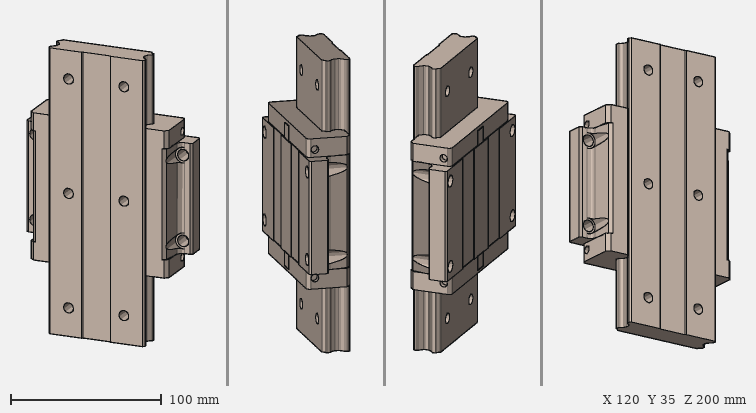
import cadquery as cq


RAIL_LENGTH = 200.0
RAIL_HALF_WIDTH = 34.5
RAIL_HEIGHT = 19.0
RAIL_BASE_CHAMFER = 1.2
RAIL_WAIST_HALF_WIDTH = 31.0
WAIST_BEVEL_START = 3.2
WAIST_BOTTOM = 6.8
WAIST_TOP = 10.0
RACEWAY_FOOT_X = 31.8
RACEWAY_FOOT_Y = 11.5
HEAD_BOTTOM = 13.8
HEAD_TOP = 16.5
RAIL_TOP_HALF_WIDTH = 32.0
UPPER_RACEWAY_SAG = 0.5
LOWER_RACEWAY_SAG = 0.5
WAIST_BEVEL_ROUND = 2.0
WAIST_ROUND = 1.0
HEAD_ROUND = 0.5
RELIEF_WIDTH = 21.0
RELIEF_DEPTH = 0.5
RAIL_HOLE_DIAMETER = 7.0
RAIL_HOLE_SPACING_X = 40.0
RAIL_HOLE_PITCH_Z = 80.0

CARRIAGE_TOP = 35.0
CARRIAGE_BOTTOM = 4.0
CARRIAGE_HALF_WIDTH = 60.0
CARRIAGE_LENGTH = 103.0
BLOCK_LENGTH = 77.5
FLANGE_BOTTOM = 21.5
FLANGE_TOP_CHAMFER = 1.2
FLANGE_EDGE_BEVEL_WIDTH = 1.8
FLANGE_EDGE_BEVEL_HEIGHT = 1.2
FILLET_OUTER_X = 54.5
FLANK_TOP_X = 50.5
FLANK_TOP_Y = 18.5
FLANK_BOTTOM_X = 48.0
FLANK_BOTTOM_Y = 6.0
BLOCK_FOOT_X = 45.5
FLANGE_FILLET_SAG = 1.0
GROOVE_INNER_X = 12.5
GROOVE_OUTER_X = 31.5
GROOVE_DEPTH = 0.5
CARRIAGE_HOLE_DIAMETER = 8.0
CARRIAGE_HOLE_X = 53.5
CARRIAGE_HOLE_Z = 30.0
SPOTFACE_DIAMETER = 11.0

CAP_HALF_WIDTH = 49.8
CAP_TOP = 34.0
CAP_TOP_FILLET = 2.5
CAP_FOOT_CHAMFER = 2.5
CAP_PAD_WIDTH = 9.5
CAP_PAD_HEIGHT = 0.5
CAP_PAD_SETBACK = 2.5
PORT_DIAMETER = 5.2
PORT_Y = 28.5
PORT_Z = 44.0
PORT_DEPTH = 4.0

CAP_LENGTH = (CARRIAGE_LENGTH - BLOCK_LENGTH) / 2
CAP_CENTER_Z = (BLOCK_LENGTH + CAP_LENGTH) / 2


def extrude_along_z(profile, length):
    """Extrude a closed XY profile by length, centred on Z = 0."""
    return profile.extrude(length / 2, both=True)


def bore_along_y(x, z, diameter, y_start, y_end):
    """Cylinder with its axis along Y, from y_start up to y_end."""
    return cq.Workplane(cq.Solid.makeCylinder(
        diameter / 2, y_end - y_start, cq.Vector(x, y_start, z), cq.Vector(0, 1, 0)))


def round_long_edges(bar, x, y, radius):
    """Round the two mirrored edges that run along Z through (x, y) and (-x, y)."""
    for side in (-1, 1):
        edge = cq.selectors.NearestToPointSelector((side * x, y, 0))
        bar = bar.edges(edge).fillet(radius)
    return bar


def rail_bar(length):
    """Rail section with a concave raceway at each upper corner and below each head."""
    half = (
        cq.Workplane("XY")
        .moveTo(0, 0)
        .lineTo(RAIL_HALF_WIDTH - RAIL_BASE_CHAMFER, 0)
        .lineTo(RAIL_HALF_WIDTH, RAIL_BASE_CHAMFER)
        .lineTo(RAIL_HALF_WIDTH, WAIST_BEVEL_START)
        .lineTo(RAIL_WAIST_HALF_WIDTH, WAIST_BOTTOM)
        .lineTo(RAIL_WAIST_HALF_WIDTH, WAIST_TOP)
        .lineTo(RACEWAY_FOOT_X, RACEWAY_FOOT_Y)
        .sagittaArc((RAIL_HALF_WIDTH, HEAD_BOTTOM), LOWER_RACEWAY_SAG)
        .lineTo(RAIL_HALF_WIDTH, HEAD_TOP)
        .sagittaArc((RAIL_TOP_HALF_WIDTH, RAIL_HEIGHT), UPPER_RACEWAY_SAG)
        .lineTo(0, RAIL_HEIGHT)
        .mirrorY()
    )
    bar = extrude_along_z(half, length)
    bar = round_long_edges(bar, RAIL_HALF_WIDTH, WAIST_BEVEL_START, WAIST_BEVEL_ROUND)
    bar = round_long_edges(bar, RAIL_WAIST_HALF_WIDTH, WAIST_BOTTOM, WAIST_ROUND)
    bar = round_long_edges(bar, RAIL_WAIST_HALF_WIDTH, WAIST_TOP, WAIST_ROUND)
    bar = round_long_edges(bar, RAIL_HALF_WIDTH, HEAD_BOTTOM, HEAD_ROUND)
    bar = round_long_edges(bar, RAIL_HALF_WIDTH, HEAD_TOP, HEAD_ROUND)
    return round_long_edges(bar, RAIL_TOP_HALF_WIDTH, RAIL_HEIGHT, HEAD_ROUND)


def make_rail():
    rail = rail_bar(RAIL_LENGTH)
    relief = (
        cq.Workplane("XY")
        .moveTo(0, 0)
        .lineTo(RELIEF_WIDTH / 2, 0)
        .lineTo(RELIEF_WIDTH / 2 - RELIEF_DEPTH, RELIEF_DEPTH)
        .lineTo(0, RELIEF_DEPTH)
        .mirrorY()
    )
    rail = rail.cut(extrude_along_z(relief, RAIL_LENGTH))
    for x in (-RAIL_HOLE_SPACING_X / 2, RAIL_HOLE_SPACING_X / 2):
        for row in (-1, 0, 1):
            z = row * RAIL_HOLE_PITCH_Z
            rail = rail.cut(bore_along_y(x, z, RAIL_HOLE_DIAMETER, 0, RAIL_HEIGHT))
    return rail


def flanged_block():
    """Middle of the carriage: flanges, tapered flanks and two shallow grooves on top."""
    half = (
        cq.Workplane("XY")
        .moveTo(0, CARRIAGE_BOTTOM)
        .lineTo(BLOCK_FOOT_X, CARRIAGE_BOTTOM)
        .lineTo(FLANK_BOTTOM_X, FLANK_BOTTOM_Y)
        .lineTo(FLANK_TOP_X, FLANK_TOP_Y)
        .sagittaArc((FILLET_OUTER_X, FLANGE_BOTTOM), FLANGE_FILLET_SAG)
        .lineTo(CARRIAGE_HALF_WIDTH - FLANGE_EDGE_BEVEL_WIDTH, FLANGE_BOTTOM)
        .lineTo(CARRIAGE_HALF_WIDTH, FLANGE_BOTTOM + FLANGE_EDGE_BEVEL_HEIGHT)
        .lineTo(CARRIAGE_HALF_WIDTH, CARRIAGE_TOP - FLANGE_TOP_CHAMFER)
        .lineTo(CARRIAGE_HALF_WIDTH - FLANGE_TOP_CHAMFER, CARRIAGE_TOP)
        .lineTo(GROOVE_OUTER_X, CARRIAGE_TOP)
        .lineTo(GROOVE_OUTER_X, CARRIAGE_TOP - GROOVE_DEPTH)
        .lineTo(GROOVE_INNER_X, CARRIAGE_TOP - GROOVE_DEPTH)
        .lineTo(GROOVE_INNER_X, CARRIAGE_TOP)
        .lineTo(0, CARRIAGE_TOP)
        .mirrorY()
    )
    return extrude_along_z(half, BLOCK_LENGTH)


def end_cap(side):
    """End cap at the +Z (side = 1) or -Z (side = -1) end of the block."""
    height = CAP_TOP - CARRIAGE_BOTTOM
    center_z = side * CAP_CENTER_Z
    cap = (
        cq.Workplane("XY")
        .box(2 * CAP_HALF_WIDTH, height, CAP_LENGTH)
        .edges("|Z and >Y").fillet(CAP_TOP_FILLET)
        .edges("|Z and <Y").chamfer(CAP_FOOT_CHAMFER)
        .translate((0, CARRIAGE_BOTTOM + height / 2, center_z))
    )
    pad = (
        cq.Workplane("XY")
        .box(CAP_PAD_WIDTH, 2 * CAP_PAD_HEIGHT, CAP_LENGTH - CAP_PAD_SETBACK)
        .translate((0, CAP_TOP, center_z - side * CAP_PAD_SETBACK / 2))
    )
    cap = cap.union(pad)
    for x_side in (-1, 1):
        port = cq.Solid.makeCylinder(
            PORT_DIAMETER / 2, PORT_DEPTH,
            cq.Vector(x_side * CAP_HALF_WIDTH, PORT_Y, side * PORT_Z), cq.Vector(-x_side, 0, 0))
        cap = cap.cut(cq.Workplane(port))
    return cap


def make_carriage():
    carriage = flanged_block()
    for x in (-CARRIAGE_HOLE_X, CARRIAGE_HOLE_X):
        for z in (-CARRIAGE_HOLE_Z, CARRIAGE_HOLE_Z):
            carriage = carriage.cut(bore_along_y(x, z, CARRIAGE_HOLE_DIAMETER, FLANGE_BOTTOM, CARRIAGE_TOP))
            carriage = carriage.cut(bore_along_y(x, z, SPOTFACE_DIAMETER, CARRIAGE_BOTTOM, FLANGE_BOTTOM))
    for side in (-1, 1):
        carriage = carriage.union(end_cap(side))
    return carriage.cut(rail_bar(RAIL_LENGTH))


rail = make_rail()
carriage = make_carriage()
result = cq.Compound.makeCompound([rail.val(), carriage.val()])